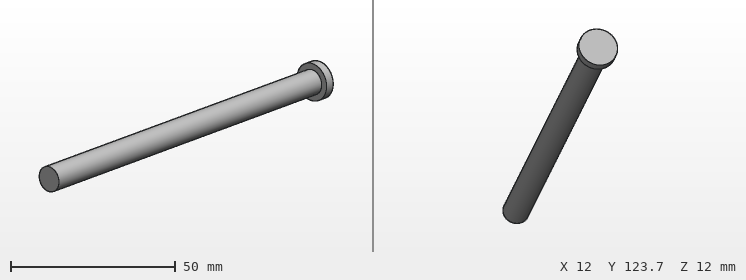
import cadquery as cq

total_length = 123.7
head_diameter = 12.0
head_thickness = 3.1
shank_diameter = 8.0
shank_length = total_length - head_thickness


def cylinder_along_y(diameter, start_y, length):
    """Solid cylinder on the Y axis, growing toward +Y from start_y."""
    base = cq.Workplane("XZ", origin=(0, start_y, 0))
    return base.circle(diameter / 2).extrude(-length)


shank = cylinder_along_y(shank_diameter, 0, shank_length)
head = cylinder_along_y(head_diameter, shank_length, head_thickness)

result = shank.union(head)